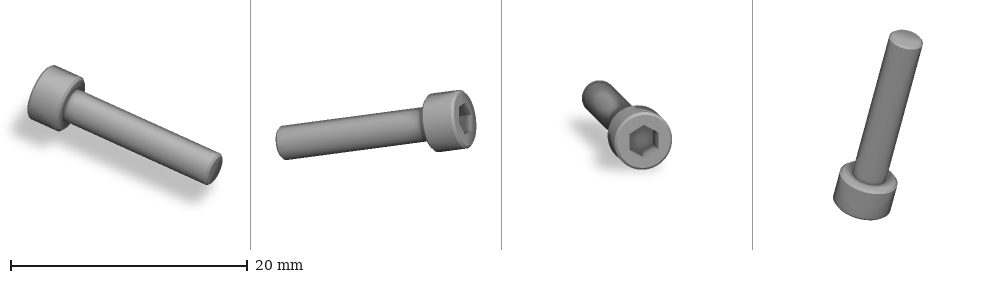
import cadquery as cq

total_length = 17.0
head_diameter = 5.0
head_length = 3.0
head_chamfer = 0.2
shank_diameter = 2.92
tip_chamfer = 0.2
socket_across_flats = 2.5
socket_depth = 2.0


def make_head():
    """Cylinder with both rims chamfered."""
    head = cq.Workplane("YZ").circle(head_diameter / 2).extrude(head_length)
    return head.edges("%CIRCLE").chamfer(head_chamfer)


def make_shank():
    """Plain shank with a chamfered tip."""
    shank_length = total_length - head_length
    shank = cq.Workplane("YZ", origin=(head_length, 0, 0)).circle(shank_diameter / 2).extrude(shank_length)
    return shank.faces(">X").edges().chamfer(tip_chamfer)


def make_socket():
    """Hexagonal recess with two corners pointing along Z."""
    hexagon = cq.Workplane("YZ").polygon(6, socket_across_flats, circumscribed=True)
    return hexagon.extrude(socket_depth)


result = make_head().union(make_shank()).cut(make_socket())